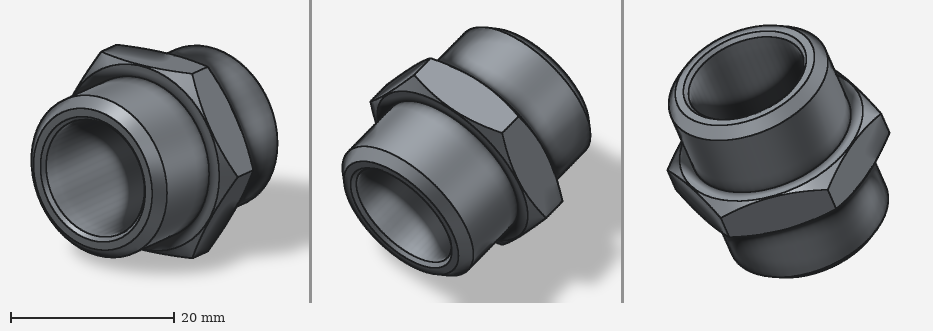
import cadquery as cq
import math

length = 25.5
hex_across_corners = 27.7
hex_thickness = 5.5
hex_face_diameter = 23.78
hex_chamfer_angle = 30.0
spigot_diameter = 20.67
spigot_chamfer = 1.3
bore_diameter = 14.95
bore_chamfer = 0.5


def cylinder(diameter, height):
    """Cylinder along Y, centred on the origin."""
    return cq.Workplane("XZ").circle(diameter / 2).extrude(height / 2, both=True)


def chamfered_hexagon():
    """Hexagon with corners on the X axis, its corners cut by a cone on both faces."""
    prism = cq.Workplane("XZ").polygon(6, hex_across_corners).extrude(hex_thickness / 2, both=True)
    corner_radius = hex_across_corners / 2
    face_radius = hex_face_diameter / 2
    half_thickness = hex_thickness / 2
    chamfer_drop = (corner_radius - face_radius) * math.tan(math.radians(hex_chamfer_angle))
    edge_y = half_thickness - chamfer_drop
    envelope = (
        cq.Workplane("XY")
        .moveTo(0, -half_thickness)
        .lineTo(face_radius, -half_thickness)
        .lineTo(corner_radius, -edge_y)
        .lineTo(corner_radius, edge_y)
        .lineTo(face_radius, half_thickness)
        .lineTo(0, half_thickness)
        .close()
        .revolve(360, (0, 0, 0), (0, 1, 0))
    )
    return prism.intersect(envelope)


spigots = cylinder(spigot_diameter, length).faces("<Y or >Y").chamfer(spigot_chamfer)

body = spigots.union(chamfered_hexagon()).cut(cylinder(bore_diameter, length))
bore_mouths = body.faces("<Y or >Y").edges(cq.selectors.RadiusNthSelector(0))
result = bore_mouths.chamfer(bore_chamfer)